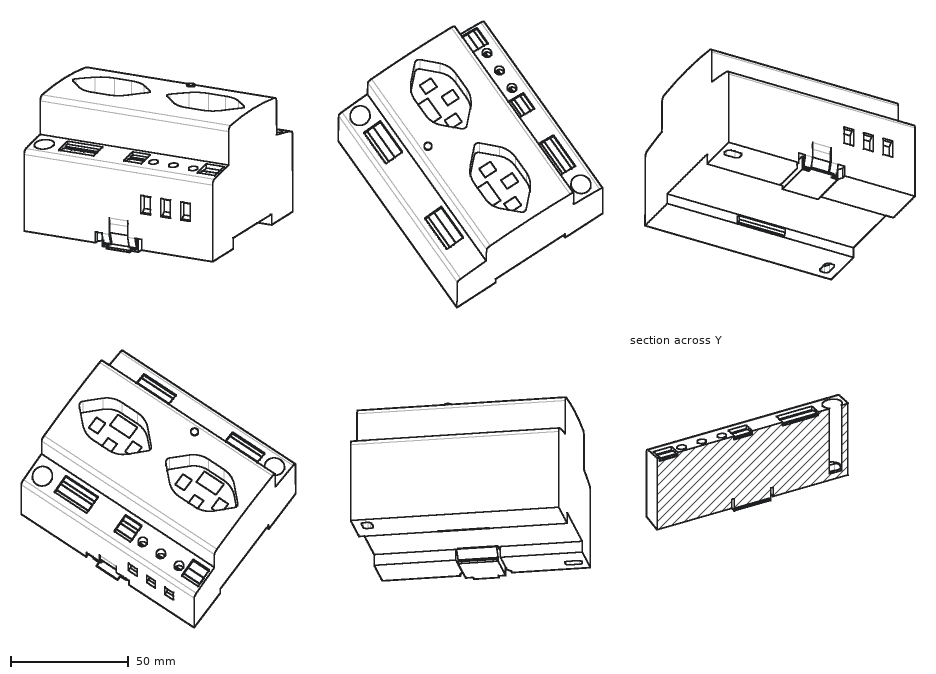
import cadquery as cq
import math

width = 90.0
base_half_depth = 37.5
tower_half_depth = 22.5
back_draft = 0.3
top_height = 57.4
shoulder_crown = 40.4
crown_radius = 171.0
edge_radius = 2.2

channel_back = 17.55
channel_front = -18.1
channel_height = 4.9
hook_reach = 1.7
hook_bottom = 0.3
hook_top = 3.8
hook_bevel = 0.7
hook_face_bottom = 1.35
hook_face_top = 3.15
clip_half_width = 8.6
clip_wall = 0.7
foot_depth = 0.4
clip_floor = 1.7
clip_front = -35.9
clip_hook_reach = 3.7
clip_hook_tip = 3.5
clip_hook_shoulder = 4.0
clip_stem = 1.1
lip_front = -38.0
clip_plate = 0.9
lip_half_width = 5.5
gap_half_width = 11.1
gap_inner_half_width = 9.6
gap_taper_start = 1.8
gap_taper_length = 2.25
tongue_half_width = 4.4
tongue_height = 12.2
tongue_slope_end = 9.45
tongue_slope_depth = 0.8
tongue_wall_bottom = 5.3
tongue_total_depth = 2.7

socket_spacing = 45.0
socket_apex = 19.1
socket_half_height = 10.5
socket_tip_radius = 1.9
socket_bend_radius = 10.8
socket_floor = 44.3
contact_depth = 0.2
pin_size = (4.7, 5.8)
pin_offset = 9.45
earth_offset = -4.9
window_size = (10.2, 5.9)
window_offset = 6.2

lamp_x = 6.5
lamp_y = 17.5
lamp_radius = 1.6
lamp_top = 57.2

mount_x = 39.1
mount_y = 30.2
mount_radius = 4.2
mount_slot_length = 7.4
mount_slot_width = 4.4
mount_slot_corner = 1.6
mount_floor = 3.6

label_y = 28.8
label_length = 8.5
label_depth = 1.35
label_groove_depth = 0.5
label_outer_groove = 1.7
label_rib = 3.1
label_inner_groove = 1.6
label_wide = 16.7
label_narrow = 8.5
label_left_x = -22.5
label_middle_x = 4.4
label_right_x = 39.6
label_back_x = 23.7

terminal_x = 22.5
terminal_pitch = 9.45
screw_y = -30.15
screw_radius = 2.0
screw_head_height = 32.85
screw_slot_width = 0.8
screw_slot_depth = 0.7

wire_width = 4.5
wire_bottom = 16.5
wire_top = 24.6
wire_slope = 1.35
wire_slope_start = 1.4
wire_depth = 3.1


def roof_height(crown, y):
    """Height at depth y of an arc along Y whose highest point is on the centre line."""
    return crown - crown_radius + math.sqrt(crown_radius**2 - y**2)


def side_prism(points, x_start, x_end):
    """Extrude a closed (y, z) outline from x_start to x_end."""
    return cq.Workplane("YZ").workplane(offset=x_start).polyline(points).close().extrude(x_end - x_start)


def box(x_range, y_range, z_range):
    """Box given by its limits along each axis."""
    size = [high - low for low, high in (x_range, y_range, z_range)]
    return cq.Workplane("XY").box(*size, centered=False).translate((x_range[0], y_range[0], z_range[0]))


def block_under_arc(half_depth, foot, crown):
    """Full-width block with an arched roof, a leaning back and rounded outer roof edges."""
    back = half_depth - back_draft
    return (
        cq.Workplane("YZ").workplane(offset=-width / 2)
        .moveTo(-half_depth, foot)
        .lineTo(half_depth, foot)
        .lineTo(back, roof_height(crown, back))
        .threePointArc((0, crown), (-half_depth, roof_height(crown, half_depth)))
        .close()
        .extrude(width)
        .edges("|X and (not <Z)")
        .fillet(edge_radius)
    )


def housing():
    """Stepped housing with the rail channel along its underside."""
    tower_foot = roof_height(shoulder_crown, tower_half_depth)
    base = block_under_arc(base_half_depth, 0, shoulder_crown)
    tower = block_under_arc(tower_half_depth, tower_foot, top_height)
    channel = box((-width / 2, width / 2), (channel_front, channel_back), (0, channel_height))
    return base.union(tower).cut(channel)


def fixed_hook():
    """Hook on the back wall of the channel, as wide as the clip opening."""
    tip = channel_back - hook_reach
    shoulder = tip + hook_bevel
    points = [
        (channel_back, hook_top), (shoulder, hook_top), (tip, hook_face_top),
        (tip, hook_face_bottom), (shoulder, hook_bottom), (channel_back, hook_bottom),
    ]
    return side_prism(points, -gap_half_width, gap_half_width)


def clip_opening():
    """Two gaps beside the clip plus the sloped front and tool slot between them."""
    front = -base_half_depth
    taper_start = front + gap_taper_start
    gap = (
        cq.Workplane("XY")
        .polyline([
            (clip_half_width, front), (gap_half_width, front), (gap_half_width, taper_start),
            (gap_inner_half_width, taper_start + gap_taper_length),
            (gap_inner_half_width, channel_front), (clip_half_width, channel_front),
        ])
        .close().extrude(channel_height)
    )
    inner = clip_half_width - clip_wall
    wall_recess = box((inner, clip_half_width), (front, clip_front), (0, channel_height))
    side_cuts = gap.union(wall_recess)
    slope = side_prism(
        [(front, -foot_depth), (clip_front, -foot_depth), (front, channel_height)],
        -inner, inner,
    )
    slot_wall = front + tongue_slope_depth
    slot = side_prism(
        [
            (front, -foot_depth), (front, tongue_height), (slot_wall, tongue_slope_end),
            (slot_wall, tongue_wall_bottom), (front + tongue_total_depth, -foot_depth),
        ],
        -tongue_half_width, tongue_half_width,
    )
    return side_cuts.union(side_cuts.mirror("YZ")).union(slope).union(slot)


def clip_foot():
    """Low foot of the housing that stands between the clip walls."""
    inner = clip_half_width - clip_wall
    return box((-inner, inner), (clip_front, channel_front), (-foot_depth, 0))


def clip():
    """U-shaped clip with a pull lip in front and the hook that grips the rail behind."""
    plate_heights = (-clip_floor, -clip_floor + clip_plate)
    run = (clip_front, channel_front)
    inner = clip_half_width - clip_wall
    tray = box((-clip_half_width, clip_half_width), run, plate_heights)
    tray = tray.union(box((-clip_half_width, -inner), run, (-clip_floor, 0)))
    tray = tray.union(box((inner, clip_half_width), run, (-clip_floor, 0)))
    lip = box((-lip_half_width, lip_half_width), (lip_front, clip_front), plate_heights)
    stem = channel_front + clip_stem
    tip = channel_front + clip_hook_reach
    hook = side_prism(
        [
            (channel_front, 0), (tip, clip_hook_tip), (stem, clip_hook_shoulder),
            (stem, channel_height), (channel_front, channel_height),
        ],
        -clip_half_width, clip_half_width,
    )
    return tray.union(lip).union(hook)


def socket(x):
    """Six-sided plug recess with shallow contact fields in its floor."""
    flat = socket_apex - socket_half_height
    recess = (
        cq.Workplane("XY").workplane(offset=socket_floor)
        .polyline([
            (-socket_apex, 0), (-flat, socket_half_height), (flat, socket_half_height),
            (socket_apex, 0), (flat, -socket_half_height), (-flat, -socket_half_height),
        ])
        .close().extrude(top_height - socket_floor)
    )
    recess = recess.edges("|Z and (<X or >X)").fillet(socket_tip_radius)
    recess = recess.edges("|Z and (<Y or >Y)").fillet(socket_bend_radius)
    floor = cq.Workplane("XY").workplane(offset=socket_floor - contact_depth)
    pins = floor.pushPoints([(-pin_offset, 0), (pin_offset, 0), (0, earth_offset)])
    recess = recess.union(pins.rect(*pin_size).extrude(contact_depth))
    recess = recess.union(floor.center(0, window_offset).rect(*window_size).extrude(contact_depth))
    return recess.translate((x, 0, 0))


def lamp():
    """Round signal lamp standing slightly proud of the roof."""
    return (
        cq.Workplane("XY").workplane(offset=socket_floor)
        .center(lamp_x, lamp_y).circle(lamp_radius).extrude(lamp_top - socket_floor)
    )


def mounting_hole(x, y, slot_angle):
    """Deep counterbore with a rounded through slot turned by slot_angle."""
    counterbore = (
        cq.Workplane("XY").workplane(offset=mount_floor).circle(mount_radius).extrude(shoulder_crown)
    )
    slot = (
        cq.Workplane("XY").rect(mount_slot_length, mount_slot_width).extrude(mount_floor)
        .edges("|Z").fillet(mount_slot_corner)
        .rotate((0, 0, 0), (0, 0, 1), slot_angle)
    )
    return counterbore.union(slot).translate((x, y, 0))


def label_recess(x, length_x, has_ledge, behind=False):
    """Stepped recess in the front shoulder, or in the back one if behind.

    Its floors run parallel to the shoulder. With has_ledge the strip next to
    the inner rim stays at the shallow level.
    """
    outer = -label_y - label_length / 2
    inner = outer + label_length
    rib_start = outer + label_outer_groove
    rib_end = rib_start + label_rib
    groove_end = rib_end + label_inner_groove if has_ledge else inner
    groove_depth = label_depth + label_groove_depth

    def strip(start, end, depth):
        outline = [
            (start, shoulder_crown), (end, shoulder_crown),
            (end, roof_height(shoulder_crown, end) - depth),
            (start, roof_height(shoulder_crown, start) - depth),
        ]
        return side_prism(outline, -length_x / 2, length_x / 2)

    recess = (
        strip(outer, inner, label_depth)
        .union(strip(outer, rib_start, groove_depth))
        .union(strip(rib_end, groove_end, groove_depth))
    )
    turn = 180 if behind else 0
    return recess.rotate((0, 0, 0), (0, 0, 1), turn).translate((x, 0, 0))


def terminal(x):
    """Screw well in the front shoulder and the wire opening below it."""
    well = (
        cq.Workplane("XY").workplane(offset=screw_head_height)
        .center(x, screw_y).circle(screw_radius).extrude(shoulder_crown - screw_head_height)
    )
    head_disc = (
        cq.Workplane("XY").workplane(offset=screw_head_height - screw_slot_depth)
        .center(x, screw_y).circle(screw_radius).extrude(screw_slot_depth)
    )
    slot_half = screw_slot_width / 2
    screw_slot = head_disc.intersect(box(
        (x - screw_radius, x + screw_radius), (screw_y - slot_half, screw_y + slot_half), (0, shoulder_crown)
    ))
    front = -base_half_depth
    wire_opening = side_prism(
        [
            (front, wire_bottom),
            (front + wire_slope_start, wire_bottom),
            (front + wire_depth, wire_bottom + wire_slope),
            (front + wire_depth, wire_top - wire_slope),
            (front + wire_slope_start, wire_top),
            (front, wire_top),
        ],
        x - wire_width / 2, x + wire_width / 2,
    )
    return well.union(screw_slot).union(wire_opening)


body = housing().union(fixed_hook()).union(clip_foot()).cut(clip_opening()).union(clip())

for side in (-1, 1):
    body = body.cut(socket(side * socket_spacing / 2))

body = body.union(lamp())

body = body.cut(mounting_hole(-mount_x, -mount_y, 0))
body = body.cut(mounting_hole(mount_x, mount_y, 90))

body = body.cut(label_recess(label_left_x, label_wide, True))
body = body.cut(label_recess(label_middle_x, label_narrow, True))
body = body.cut(label_recess(label_right_x, label_narrow, False))
for label_x in (label_left_x, label_back_x):
    body = body.cut(label_recess(label_x, label_wide, False, behind=True))

for index in (-1, 0, 1):
    body = body.cut(terminal(terminal_x + index * terminal_pitch))

result = body